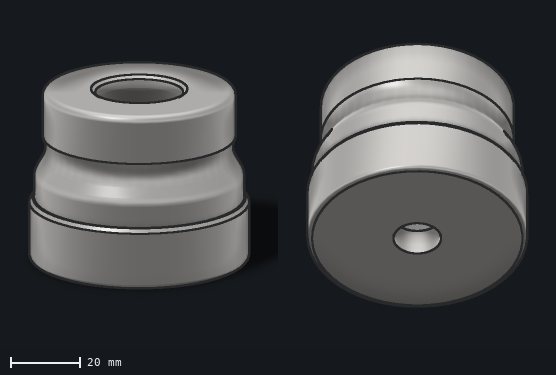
import cadquery as cq
import math

HEIGHT = 50.8
SLEEVE_RADIUS = 31.75

SLEEVE_HEIGHT = 18.15
SLEEVE_BOTTOM_FILLET = 1.3
SLEEVE_CHAMFER_START = 16.8
SLEEVE_CHAMFER_END = 17.8
SLEEVE_CHAMFER_RADIUS = 31.05
SLEEVE_RIM_RADIUS = 30.75

FOOT_RADIUS = 30.35
HEAD_RADIUS = 27.9
HEAD_FILLET = 2.05
NECK_ARC_RADIUS = 7.6
SHOULDER_ARC_RADIUS = 4.7
SHOULDER_START = 24.4
CONE_HEIGHT = 2.8
CONE_ANGLE = math.radians(30)

MOUTH_RADIUS = 13.9
MOUTH_CHAMFER_DEPTH = 1.0
LEAD_IN_RADIUS = 12.7
LEAD_IN_END = 47.2
BORE_RADIUS = 12.45
BORE_END = 36.05
RELIEF_RADIUS = 13.7
RELIEF_CONE_HEIGHT = 1.7
FLOOR_THICKNESS = 8.9
HOLE_RADIUS = 6.85
HOLE_CHAMFER = 0.5


def revolve(profile):
    """Turn a closed (radius, height) profile about the Z axis."""
    return profile.close().revolve(360, (0, 0, 0), (0, 1, 0))


def arc_point(center, radius, angle):
    """Point on a circle in the (radius, height) plane; angle in radians."""
    return (center[0] + radius * math.cos(angle), center[1] + radius * math.sin(angle))


def make_core_blank():
    """Solid turned outside: foot, rounded shoulder, cone, hollow neck and head."""
    shoulder_center = (FOOT_RADIUS - SHOULDER_ARC_RADIUS, SHOULDER_START)
    shoulder_middle = arc_point(shoulder_center, SHOULDER_ARC_RADIUS, CONE_ANGLE / 2)
    cone_start = arc_point(shoulder_center, SHOULDER_ARC_RADIUS, CONE_ANGLE)
    cone_end = (cone_start[0] - CONE_HEIGHT * math.tan(CONE_ANGLE), cone_start[1] + CONE_HEIGHT)

    neck_center = arc_point(cone_end, NECK_ARC_RADIUS, CONE_ANGLE)
    neck_middle = (neck_center[0] - NECK_ARC_RADIUS, neck_center[1])
    neck_rise = math.sqrt(NECK_ARC_RADIUS**2 - (neck_center[0] - HEAD_RADIUS) ** 2)
    neck_end = (HEAD_RADIUS, neck_center[1] + neck_rise)

    profile = (
        cq.Workplane("XZ")
        .lineTo(FOOT_RADIUS, 0)
        .lineTo(FOOT_RADIUS, SHOULDER_START)
        .threePointArc(shoulder_middle, cone_start)
        .lineTo(*cone_end)
        .threePointArc(neck_middle, neck_end)
        .lineTo(HEAD_RADIUS, HEIGHT)
        .lineTo(0, HEIGHT)
    )
    return revolve(profile).faces(">Z").edges().fillet(HEAD_FILLET)


def make_bore():
    """Stepped bore: chamfered mouth, lead-in, bore, relief and chamfered floor hole."""
    return revolve(
        cq.Workplane("XZ")
        .lineTo(HOLE_RADIUS, 0)
        .lineTo(HOLE_RADIUS, FLOOR_THICKNESS - HOLE_CHAMFER)
        .lineTo(HOLE_RADIUS + HOLE_CHAMFER, FLOOR_THICKNESS)
        .lineTo(RELIEF_RADIUS, FLOOR_THICKNESS)
        .lineTo(RELIEF_RADIUS, BORE_END - RELIEF_CONE_HEIGHT)
        .lineTo(BORE_RADIUS, BORE_END)
        .lineTo(BORE_RADIUS, LEAD_IN_END)
        .lineTo(LEAD_IN_RADIUS, HEIGHT - MOUTH_CHAMFER_DEPTH)
        .lineTo(MOUTH_RADIUS, HEIGHT)
        .lineTo(0, HEIGHT)
    )


def make_core():
    return make_core_blank().cut(make_bore())


def make_sleeve():
    """Ring on the foot of the core, with a two-step bevel on top and a round below."""
    profile = (
        cq.Workplane("XZ")
        .moveTo(FOOT_RADIUS, 0)
        .lineTo(SLEEVE_RADIUS - SLEEVE_BOTTOM_FILLET, 0)
        .radiusArc((SLEEVE_RADIUS, SLEEVE_BOTTOM_FILLET), -SLEEVE_BOTTOM_FILLET)
        .lineTo(SLEEVE_RADIUS, SLEEVE_CHAMFER_START)
        .lineTo(SLEEVE_CHAMFER_RADIUS, SLEEVE_CHAMFER_END)
        .lineTo(SLEEVE_RIM_RADIUS, SLEEVE_HEIGHT)
        .lineTo(FOOT_RADIUS, SLEEVE_HEIGHT)
    )
    return revolve(profile)


core = make_core()
sleeve = make_sleeve()

result = cq.Compound.makeCompound([core.val(), sleeve.val()])